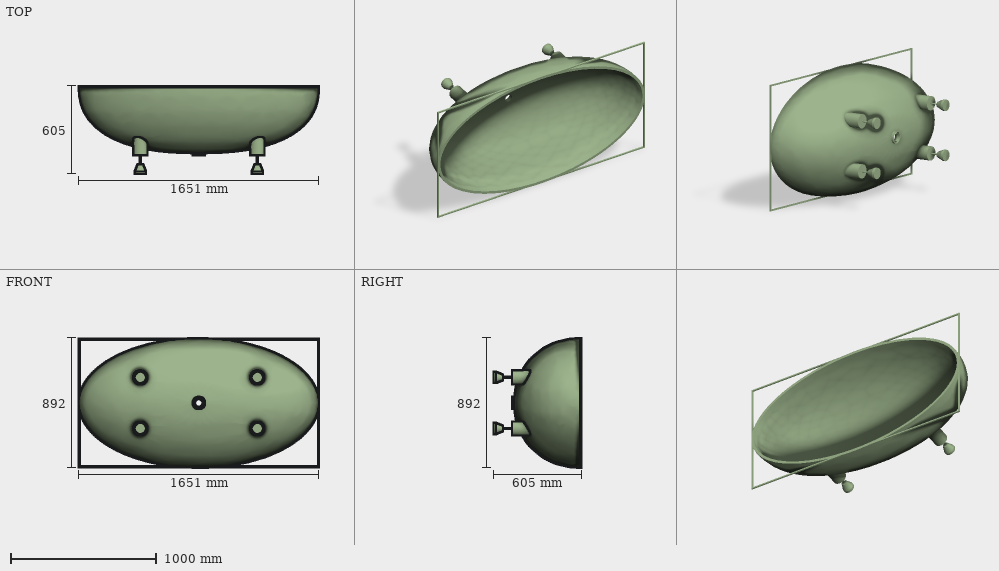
import cadquery as cq
import math

BOWL_LENGTH = 1650.0
BOWL_HEIGHT = 892.0
BOWL_DEPTH = 462.0
WALL = 20.0
LENGTH_EXPONENT = 2.4
HEIGHT_EXPONENT = 2.1
BOWL_SECTIONS = 18
LAST_SECTION_ANGLE = 89.0

FRAME_LENGTH = 1651.0
FRAME_HEIGHT = 882.0
FRAME_BAR = 10.0

DRAIN_END = 477.0
COLLAR_RADIUS = 43.0
COLLAR_WALL = 5.0
DRAIN_HOLE_RADIUS = 26.0
DRAIN_CONE_HEIGHT = 12.0
COLLAR_BORE_RADIUS = COLLAR_RADIUS - COLLAR_WALL

FOOT_X = 401.0
FOOT_Z = 175.0
SLEEVE_RADIUS = 50.0
SLEEVE_START = 297.0
SLEEVE_END = DRAIN_END
ROD_RADIUS = 5.0
PAD_START = 537.0
PAD_CONE_END = 586.0
PAD_END = 605.0
PAD_TOP_RADIUS = 20.0
PAD_RADIUS = 40.0


def section_plane(depth, x=0, z=0):
    """Workplane at a depth below the rim, its normal pointing to -Y."""
    return cq.Workplane("XZ", origin=(x, -depth, z))


def cylinder(radius, start, end, x=0, z=0):
    return section_plane(start, x, z).circle(radius).extrude(end - start)


def cone(start_radius, end_radius, start, end, x=0, z=0):
    solid = cq.Solid.makeCone(
        start_radius, end_radius, end - start, pnt=cq.Vector(x, -start, z), dir=cq.Vector(0, -1, 0)
    )
    return cq.Workplane(solid)


def make_bowl(half_length, half_height, depth):
    """Loft of ellipses whose half axes follow two superellipse profiles."""
    wires = []
    for i in range(BOWL_SECTIONS):
        angle = math.radians(LAST_SECTION_ANGLE * i / (BOWL_SECTIONS - 1))
        level = math.sin(angle)
        x_radius = half_length * (1 - level**LENGTH_EXPONENT) ** (1 / LENGTH_EXPONENT)
        z_radius = half_height * (1 - level**HEIGHT_EXPONENT) ** (1 / HEIGHT_EXPONENT)
        wires.append(
            cq.Wire.makeEllipse(
                x_radius,
                z_radius,
                center=cq.Vector(0, -depth * level, 0),
                normal=cq.Vector(0, -1, 0),
                xDir=cq.Vector(1, 0, 0),
            )
        )
    return cq.Workplane(cq.Solid.makeLoft(wires))


def make_frame():
    outer = section_plane(0).rect(FRAME_LENGTH, FRAME_HEIGHT)
    return outer.rect(FRAME_LENGTH - 2 * FRAME_BAR, FRAME_HEIGHT - 2 * FRAME_BAR).extrude(FRAME_BAR)


def make_foot(x, z):
    sleeve = cylinder(SLEEVE_RADIUS, SLEEVE_START, SLEEVE_END, x, z)
    rod = cylinder(ROD_RADIUS, SLEEVE_END, PAD_START, x, z)
    pad_cone = cone(PAD_TOP_RADIUS, PAD_RADIUS, PAD_START, PAD_CONE_END, x, z)
    pad_disc = cylinder(PAD_RADIUS, PAD_CONE_END, PAD_END, x, z)
    return sleeve.union(rod).union(pad_cone).union(pad_disc)


def add_drain(tub):
    """Thin collar around a conical seat, with a hole right through."""
    seat_end = BOWL_DEPTH + DRAIN_CONE_HEIGHT
    collar = cylinder(COLLAR_RADIUS, BOWL_DEPTH - WALL, DRAIN_END)
    bore = cylinder(COLLAR_BORE_RADIUS, BOWL_DEPTH, DRAIN_END)
    seat = cone(COLLAR_BORE_RADIUS, DRAIN_HOLE_RADIUS, BOWL_DEPTH, seat_end)
    hole = cylinder(DRAIN_HOLE_RADIUS, 0, DRAIN_END)
    return tub.union(collar).cut(bore).union(seat).cut(hole)


def make_tub(frame):
    tub = make_bowl(BOWL_LENGTH / 2, BOWL_HEIGHT / 2, BOWL_DEPTH)
    for x in (-FOOT_X, FOOT_X):
        for z in (-FOOT_Z, FOOT_Z):
            tub = tub.union(make_foot(x, z))
    cavity = make_bowl(BOWL_LENGTH / 2 - WALL, BOWL_HEIGHT / 2 - WALL, BOWL_DEPTH - WALL)
    tub = add_drain(tub.cut(cavity))
    return tub.cut(frame)


frame = make_frame()
tub = make_tub(frame)

result = cq.Compound.makeCompound([tub.val(), frame.val()])